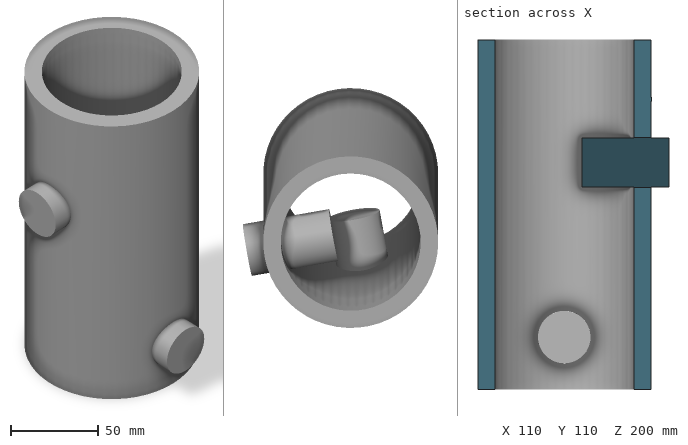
import cadquery as cq

tube_height = 200.0
tube_outer_diameter = 100.0
tube_inner_diameter = 80.0

pin_diameter = 30.0
pin_length = 50.0
pin_protrusion = 10.0
side_pin_height = 30.0
front_pin_height = 130.0

pin_outer_end = tube_outer_diameter / 2 + pin_protrusion
pin_inner_end = pin_outer_end - pin_length

pin_places = [
    (cq.Vector(1, 0, 0), side_pin_height),
    (cq.Vector(0, -1, 0), front_pin_height),
]


def make_pin(direction, height):
    """Solid round pin pointing radially outward at the given height."""
    inner_centre = direction * pin_inner_end + cq.Vector(0, 0, height)
    plane = cq.Plane(origin=inner_centre, normal=direction)
    return cq.Workplane(plane).circle(pin_diameter / 2).extrude(pin_length)


def make_tube(fitted_pins):
    """Open tube with a matching hole in its wall for each pin."""
    tube = (
        cq.Workplane("XY")
        .circle(tube_outer_diameter / 2)
        .circle(tube_inner_diameter / 2)
        .extrude(tube_height)
    )
    for pin in fitted_pins:
        tube = tube.cut(pin)
    return tube


pins = [make_pin(direction, height) for direction, height in pin_places]
tube = make_tube(pins)

result = cq.Compound.makeCompound([tube.val(), *[pin.val() for pin in pins]])